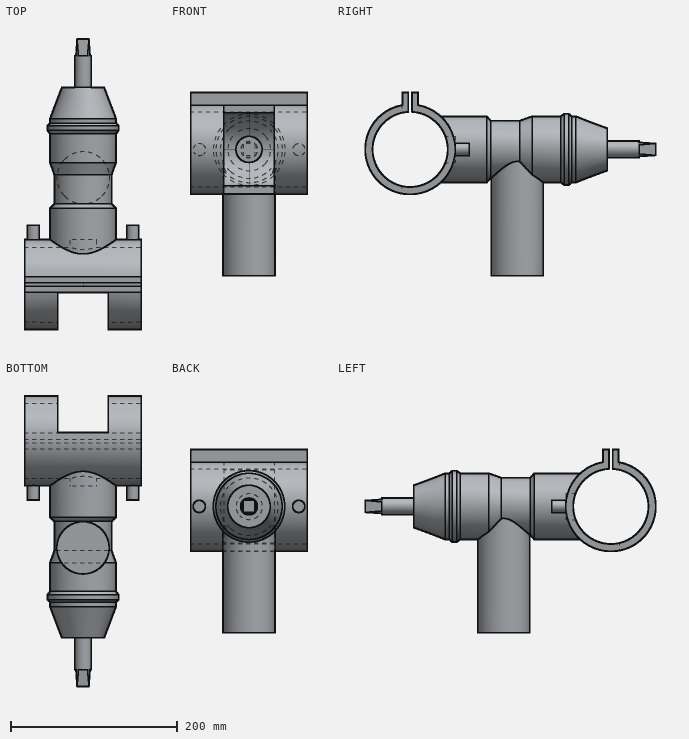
import cadquery as cq


ring_width = 140.0
ring_radius = 54.0
bore_radius = 45.0
lug_top = 68.5
lug_half_span = 9.5
split_gap = 4.2
window_width = 60.0
window_start_y = -10.0
socket_radius = 15.7

pin_radius = 7.5
pin_offset = 59.7
pin_end_y = 71.2

body_radius = 39.8
waist_radius = 34.5
collar_radius = 43.0
nose_radius = 25.5
shoulder_start_y = 91.8
waist_start_y = 96.5
waist_end_y = 131.5
barrel_start_y = 146.2
collar_start_y = 180.8
collar_rim_start_y = 185.0
collar_rim_end_y = 190.5
collar_end_y = 193.7
cone_start_y = 199.0
nose_y = 236.5

shank_radius = 10.0
square_start_y = 274.5
tip_y = 295.0
square_base_side = 17.0
square_tip_side = 14.3

handle_radius = 31.5
handle_y = 128.5
handle_bottom = -151.8


def cylinder_along_y(radius, start_y, end_y, x=0):
    return cq.Workplane(cq.Solid.makeCylinder(
        radius, end_y - start_y, cq.Vector(x, start_y, 0), cq.Vector(0, 1, 0)))


def make_ring_blank():
    """Solid clamp disc with the block for both lugs on top."""
    disc = cq.Workplane("YZ").circle(ring_radius).extrude(ring_width / 2, both=True)
    lugs = cq.Workplane("XY").box(
        ring_width, 2 * lug_half_span, lug_top, centered=(True, True, False))
    return disc.union(lugs)


def make_body():
    """Revolved body, from the ring centre to the face of the nose."""
    profile = [
        (0, 0),
        (body_radius, 0),
        (body_radius, shoulder_start_y),
        (waist_radius, waist_start_y),
        (waist_radius, waist_end_y),
        (body_radius, barrel_start_y),
        (body_radius, collar_start_y),
        (collar_radius, collar_rim_start_y),
        (collar_radius, collar_rim_end_y),
        (body_radius, collar_end_y),
        (body_radius, cone_start_y),
        (nose_radius, nose_y),
        (0, nose_y),
    ]
    return cq.Workplane("XY").polyline(profile).close().revolve(360, (0, 0), (0, 1))


def make_bit():
    """Round shank ending in a square taper trimmed to the shank diameter."""
    shank = cylinder_along_y(shank_radius, nose_y, square_start_y)
    taper = (
        cq.Workplane("XZ", origin=(0, square_start_y, 0))
        .rect(square_base_side, square_base_side)
        .workplane(offset=square_start_y - tip_y)
        .rect(square_tip_side, square_tip_side)
        .loft(ruled=True)
    )
    tip = taper.intersect(cylinder_along_y(shank_radius, square_start_y, tip_y))
    return shank.union(tip)


def make_handle():
    return (
        cq.Workplane("XY", origin=(0, handle_y, handle_bottom))
        .circle(handle_radius)
        .extrude(-handle_bottom)
    )


def cut_clamp_openings(part):
    """Bore, split between the lugs, front window and blind socket behind the bore."""
    bore = cq.Workplane("YZ").circle(bore_radius).extrude(ring_width / 2, both=True)
    split = cq.Workplane("XY").box(
        ring_width, split_gap, lug_top, centered=(True, True, False))
    window_depth = ring_radius + window_start_y
    window = cq.Workplane("XY").box(window_width, window_depth, 2 * ring_radius).translate(
        (0, window_start_y - window_depth / 2, 0))
    socket = cylinder_along_y(socket_radius, 0, ring_radius)
    return part.cut(bore).cut(split).cut(window).cut(socket)


solid = make_ring_blank().union(make_body())
for pin_x in (-pin_offset, pin_offset):
    solid = solid.union(cylinder_along_y(pin_radius, 0, pin_end_y, pin_x))
solid = solid.union(make_handle())
solid = solid.union(make_bit())
result = cut_clamp_openings(solid)